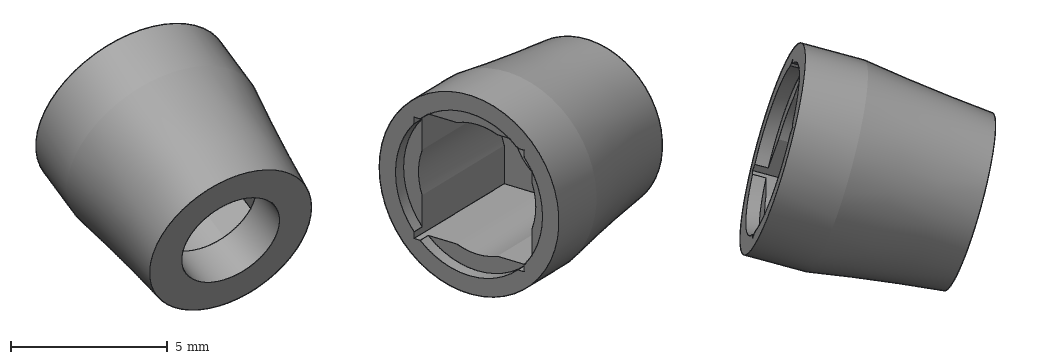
import cadquery as cq

length = 6.54
collar_diameter = 7.02
collar_length = 2.1
tip_diameter = 5.9
taper_sag = 0.035

recess_diameter = 5.74
recess_depth = 0.45
square_side = 4.29
relief_diameter = 4.58
socket_depth = 5.0

bore_diameter = 3.56


def make_body():
    """Revolve the straight collar and the slightly concave taper about X."""
    collar_radius = collar_diameter / 2
    tip_radius = tip_diameter / 2
    taper_mid_x = (collar_length + length) / 2
    taper_mid_radius = (collar_radius + tip_radius) / 2 - taper_sag
    profile = (
        cq.Workplane("XY")
        .lineTo(0, collar_radius)
        .lineTo(collar_length, collar_radius)
        .threePointArc((taper_mid_x, taper_mid_radius), (length, tip_radius))
        .lineTo(length, 0)
        .close()
    )
    return profile.revolve(360, (0, 0, 0), (1, 0, 0))


def round_cut(diameter, depth):
    """Cylinder on the X axis, starting at the collar face."""
    return cq.Workplane("YZ").circle(diameter / 2).extrude(depth)


def make_socket():
    """Square drive socket whose flats are relieved by a slightly larger circle."""
    square = cq.Workplane("YZ").rect(square_side, square_side).extrude(socket_depth)
    return square.union(round_cut(relief_diameter, socket_depth))


result = (
    make_body()
    .cut(round_cut(recess_diameter, recess_depth))
    .cut(make_socket())
    .cut(round_cut(bore_diameter, length))
)